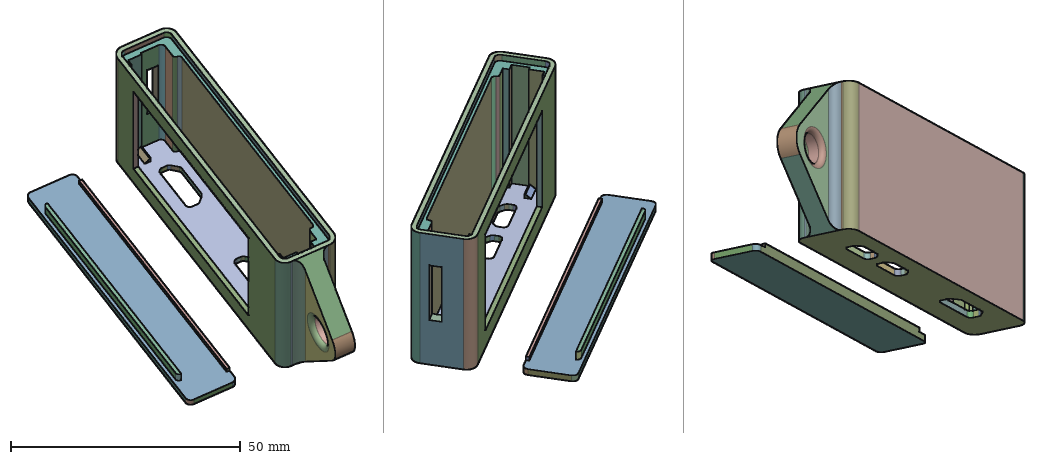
import cadquery as cq
import math

width = 72.5
depth = 14.9
height = 34.3
corner_radius = 2.5
front_wall = 1.2
side_wall = 1.2
floor_thickness = 1.6

lid_thickness = 1.6
lid_corner_radius = 1.3

cavity_back = depth - 2.0
shoulder_y = depth - 3.5
slot_back_y = depth - 9.1
slot_front_y = 2.4
channel_inset = 7.4
left_inset = 2.5
left_round = 1.05
right_inset = 2.2
right_notch_inset = 4.0
notch_y = depth - 5.0
slot_inset = 3.0
lip_inset = 4.5

wedge_length = 4.0
wedge_height = 1.0
wedge_crest = 0.3
wedge_run = 1.3

window_left = 9.3
window_right = 58.65
window_bottom = 4.6
window_top = 29.9
side_slot_front = 7.4
side_slot_back = 10.2
side_slot_bottom = 11.7
side_slot_top = 26.1

port_back_y = depth - 4.4
port_front_round = 1.05
large_port_x = 16.4
large_port_width = 12.95
large_port_depth = 4.7
large_port_chamfer = 1.9
large_port_back_round = 1.0
small_port_xs = (45.35, 57.9)
small_port_width = 9.0
small_port_depth = 4.0
small_port_chamfer = 1.5
small_port_back_round = 1.2

tab_thickness = 5.0
tab_flare = 2.0
tab_end_x = 87.5
tab_tip_radius = 4.9
ring_hole_x = 80.0
ring_hole_radius = 3.4
ring_hole_round = 1.2

lid_offset_x = 0.13
lid_center_x = width / 2 + lid_offset_x
lid_length = 69.9
lid_depth = 12.3
lid_front_y = -22.6
tall_rail_length = 57.4
tall_rail_thickness = 1.0
tall_rail_height = 2.1
tall_rail_setback = 0.9
tall_rail_round = 0.9
short_rail_length = 63.4
short_rail_thickness = 0.8
short_rail_height = 1.0


def box(x_range, y_range, z_range):
    """Axis-aligned block between the given limits."""
    size = [high - low for low, high in (x_range, y_range, z_range)]
    return cq.Workplane("XY").box(*size, centered=False).translate((x_range[0], y_range[0], z_range[0]))


def make_shell():
    """Outer block with rounded upright corners and the lid recess in its mouth."""
    shell = box((0, width), (0, depth), (0, height)).edges("|Z").fillet(corner_radius)
    recess = box(
        (side_wall, width - side_wall),
        (front_wall, depth - front_wall),
        (height - lid_thickness, height),
    )
    return shell.cut(recess.edges("|Z").fillet(lid_corner_radius))


def make_cavity():
    """Stepped inner space, from the floor up to the lid recess."""
    bend = (cavity_back - shoulder_y) / 2
    bend_y = shoulder_y + bend
    return (
        cq.Workplane("XY", origin=(0, 0, floor_thickness))
        .moveTo(lip_inset, front_wall)
        .lineTo(lip_inset, slot_front_y)
        .lineTo(slot_inset, slot_front_y)
        .lineTo(slot_inset, slot_back_y)
        .lineTo(left_inset, slot_back_y)
        .lineTo(left_inset, shoulder_y - left_round)
        .tangentArcPoint((left_inset + left_round, shoulder_y), relative=False)
        .lineTo(channel_inset - bend, shoulder_y)
        .tangentArcPoint((channel_inset, bend_y), relative=False)
        .tangentArcPoint((channel_inset + bend, cavity_back), relative=False)
        .lineTo(width - channel_inset - bend, cavity_back)
        .tangentArcPoint((width - channel_inset, bend_y), relative=False)
        .tangentArcPoint((width - channel_inset + bend, shoulder_y), relative=False)
        .lineTo(width - right_notch_inset, shoulder_y)
        .lineTo(width - right_notch_inset, notch_y)
        .lineTo(width - right_inset, notch_y)
        .lineTo(width - right_inset, slot_back_y)
        .lineTo(width - slot_inset, slot_back_y)
        .lineTo(width - slot_inset, slot_front_y)
        .lineTo(width - lip_inset, slot_front_y)
        .lineTo(width - lip_inset, front_wall)
        .close()
        .extrude(height - lid_thickness - floor_thickness)
    )


def make_wedge(x_start):
    """Floor wedge that slopes down toward the front."""
    crest_y = slot_back_y - wedge_crest
    return (
        cq.Workplane("YZ", origin=(x_start, 0, floor_thickness))
        .moveTo(slot_back_y, 0)
        .lineTo(slot_back_y, wedge_height)
        .lineTo(crest_y, wedge_height)
        .lineTo(crest_y - wedge_run, 0)
        .close()
        .extrude(wedge_length)
    )


def make_port(center_x, port_width, port_depth, chamfer, back_round):
    """Cutter for a connector opening: chamfered at the back, every corner rounded."""
    port = box(
        (center_x - port_width / 2, center_x + port_width / 2),
        (port_back_y - port_depth, port_back_y),
        (0, floor_thickness),
    )
    port = port.edges("|Z and >Y").chamfer(chamfer)
    port = port.edges("|Z and <Y").fillet(port_front_round)
    return port.edges("|Z").sort(lambda edge: edge.Center().y)[-4:].fillet(back_round)


def make_tab():
    """Key-ring tab: flared root, sides running tangent into a round tip, rounded hole."""
    middle_y = depth / 2
    middle_z = height / 2
    half_thickness = tab_thickness / 2

    plan = (
        cq.Workplane("XY")
        .moveTo(width, middle_y - half_thickness - tab_flare)
        .radiusArc((width + tab_flare, middle_y - half_thickness), tab_flare)
        .lineTo(tab_end_x, middle_y - half_thickness)
        .lineTo(tab_end_x, middle_y + half_thickness)
        .lineTo(width + tab_flare, middle_y + half_thickness)
        .radiusArc((width, middle_y + half_thickness + tab_flare), tab_flare)
        .close()
        .extrude(height)
    )

    tip_x = tab_end_x - tab_tip_radius
    run = tip_x - width
    root_angle = math.atan2(middle_z, run)
    side_angle = math.acos(tab_tip_radius / math.hypot(run, middle_z))
    touch_angle = math.pi - root_angle - side_angle
    touch_x = tip_x + tab_tip_radius * math.cos(touch_angle)
    touch_rise = tab_tip_radius * math.sin(touch_angle)
    outline = (
        cq.Workplane("XZ")
        .moveTo(width, 0)
        .lineTo(touch_x, middle_z - touch_rise)
        .threePointArc((tab_end_x, middle_z), (touch_x, middle_z + touch_rise))
        .lineTo(width, height)
        .close()
        .extrude(-depth)
    )

    hole = (
        cq.Workplane("XZ", origin=(ring_hole_x, middle_y - half_thickness, middle_z))
        .circle(ring_hole_radius)
        .extrude(-tab_thickness)
    )
    tab = plan.intersect(outline).cut(hole)
    hole_rims = tab.edges("%CIRCLE").edges(cq.selectors.RadiusNthSelector(0))
    return hole_rims.fillet(ring_hole_round)


def make_housing():
    """Case with its cavity, floor wedges, wall openings, connector ports and tab."""
    housing = make_shell().cut(make_cavity())

    for x_start in (slot_inset, width - slot_inset - wedge_length):
        housing = housing.union(make_wedge(x_start))

    window = box((window_left, window_right), (0, front_wall), (window_bottom, window_top))
    side_slot = box(
        (0, left_inset),
        (side_slot_front, side_slot_back),
        (side_slot_bottom, side_slot_top),
    )
    housing = housing.cut(window).cut(side_slot)

    housing = housing.cut(
        make_port(large_port_x, large_port_width, large_port_depth, large_port_chamfer, large_port_back_round)
    )
    for center_x in small_port_xs:
        housing = housing.cut(
            make_port(center_x, small_port_width, small_port_depth, small_port_chamfer, small_port_back_round)
        )

    return housing.union(make_tab())


def make_lid():
    """Flat plate with a tall rail near its front edge and a short rail along its back edge."""
    lid_back_y = lid_front_y + lid_depth
    plate = box(
        (lid_center_x - lid_length / 2, lid_center_x + lid_length / 2),
        (lid_front_y, lid_back_y),
        (0, lid_thickness),
    )
    plate = plate.edges("|Z").fillet(lid_corner_radius)

    rail_front_y = lid_front_y + tall_rail_setback
    tall_rail = box(
        (lid_center_x - tall_rail_length / 2, lid_center_x + tall_rail_length / 2),
        (rail_front_y, rail_front_y + tall_rail_thickness),
        (lid_thickness, lid_thickness + tall_rail_height),
    )
    tall_rail = tall_rail.edges("|Z and <Y").fillet(tall_rail_round)

    short_rail = box(
        (lid_center_x - short_rail_length / 2, lid_center_x + short_rail_length / 2),
        (lid_back_y - short_rail_thickness, lid_back_y),
        (lid_thickness, lid_thickness + short_rail_height),
    )
    return plate.union(tall_rail).union(short_rail)


housing = make_housing()
lid = make_lid()

result = cq.Compound.makeCompound([housing.val(), lid.val()])